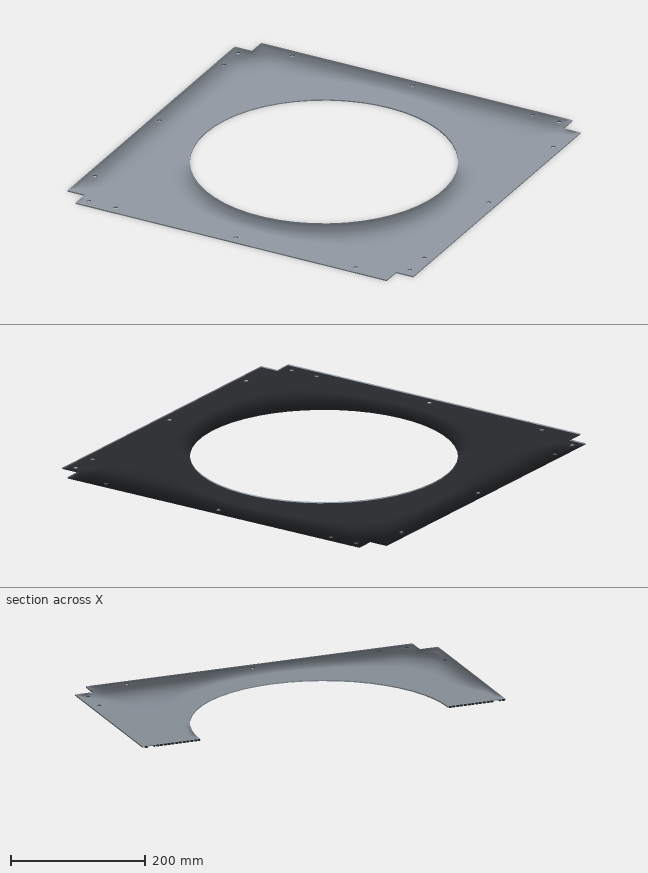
import cadquery as cq

side = 586
thickness = 2.0
notch = 29.5

opening_diameter = 400.0
hole_diameter = 7.0

edge_inset = 14.0
side_hole_offset = 203.5
corner_hole_offset = 248.5
edge_hole_offsets = (-side_hole_offset, 0, side_hole_offset, corner_hole_offset)


def notched_plate():
    """Cross outline: two overlapping rectangles leave a square notch at each corner."""
    wide = cq.Workplane("XY").box(side, side - 2 * notch, thickness)
    tall = cq.Workplane("XY").box(side - 2 * notch, side, thickness)
    return wide.union(tall)


def edge_holes():
    """Cutters for the row of holes along the +Y edge."""
    hole_y = side / 2 - edge_inset
    return (
        cq.Workplane("XY")
        .pushPoints([(x, hole_y) for x in edge_hole_offsets])
        .circle(hole_diameter / 2)
        .extrude(thickness, both=True)
    )


result = notched_plate().faces(">Z").workplane().hole(opening_diameter)

for quarter_turn in range(4):
    result = result.cut(edge_holes().rotate((0, 0, 0), (0, 0, 1), 90 * quarter_turn))